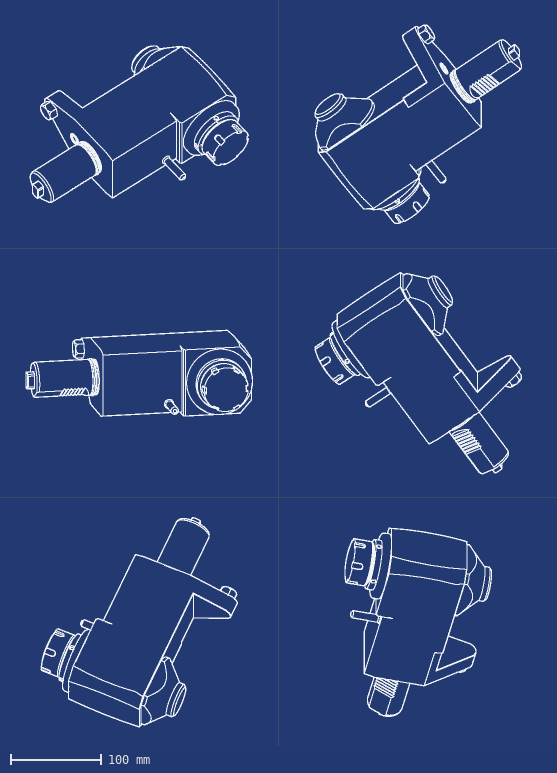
import cadquery as cq
import math


half_height = 38.0
housing_back = 166.8
left_face_x = -38.7
left_bend_x = -29.0
right_face_x = 39.5
right_bend_x = 28.2
head_face_x = 47.0
head_front_y = 89.7
head_corner_chamfer = 2.0
edge_break = 0.5

bevel_length = 9.8
bevel_height = 11.3
bevel_bulge_radius = 281.8
bevel_centre_x = 4.0

lug_thickness = 18.1
lug_radius = 12.0
lug_x = -72.0
lug_z = 14.0
steep_plane_length = 50.0

bolt_x = -70.0
bolt_z = 14.7
bolt_height = 9.8
bolt_corner_radius = 10.3
bolt_sides = 6
bolt_turn = 45.0
bolt_tip_radius = 8.8
bolt_tip_drop = 2.5

port_x = -30.1
port_outer_radius = 7.0
port_inner_radius = 4.7
port_groove_depth = 1.0
seal_radius = 0.7
seal_stand_out = 0.2

shank_radius = 20.0
shank_length = 70.3
shank_tip_radius = 19.0
shank_tip_length = 2.7
neck_radius = 19.4
collar_start = 1.5
collar_end = 3.2
seal_start = 4.0
seal_end = 5.6
seal_outer_radius = 20.8
barrel_start = 7.4
flat_distance = 17.0
flat_turn = 30.0
flat_start = 13.7
tooth_pitch = 4.0
tooth_depth = 1.5
tooth_count = 7

overall_length = 245.0
tang_length = overall_length - housing_back - shank_length
tang_width = 10.8
tang_height = 18.9
tang_flat_height = 12.2
tang_corner_width = 0.7
tang_chamfer = 0.7

spindle_y = 129.8
flange_radius = 36.8
flange_end_x = 55.5
flange_fillet = 3.0
ring_radius = 28.0
ring_end_x = 62.7
spindle_neck_radius = 21.5
nut_start_x = 64.2
nut_start_radius = 23.8
nut_full_x = 66.0
nut_radius = 25.0
nut_bevel_x = 85.5
nut_end_x = 87.5
nut_end_radius = 18.4
ring_hole_radius = 2.5
ring_hole_depth = 5.0
ring_hole_point = 1.5
ring_hole_count = 4
nut_slot_start_x = 74.2
nut_slot_width = 6.5
nut_slot_depth = 2.5
nut_slot_count = 6

cap_radius = 40.2
cap_rim_x = -42.6
cap_half_height = 32.8
cap_taper = 0.31
cap_back_y = 161.7
cap_corner_chamfer = 8.3
knob_radius = 19.4
knob_end_x = -71.5
knob_chamfer = 2.5

pin_y = 74.7
pin_z = -25.0
pin_radius = 4.2
pin_end_x = 72.0
pin_chamfer = 2.2
pin_foot_radius = 5.1
pin_foot_length = 2.0

embed = 2.5


def front_sketch(y):
    """Sketch plane at the given Y whose normal points toward -Y; local axes are X and Z."""
    return cq.Workplane("XZ", origin=(0, y, 0))


def turned_on_x(profile, axis_y, axis_z=0.0):
    """Solid of revolution about a line along X; the profile lists (x, radius)."""
    start_x = profile[0][0]
    end_x = profile[-1][0]
    outline = [(start_x, 0)] + profile + [(end_x, 0)]
    sketch = cq.Workplane("XY", origin=(0, axis_y, axis_z)).polyline(outline).close()
    return sketch.revolve(360, (0, 0, 0), (1, 0, 0))


def tangent_point(corner_x, corner_z, side):
    """Point where a line from an outer corner touches the lug circle (side is +1 or -1)."""
    away = math.hypot(corner_x - lug_x, corner_z - lug_z)
    direction = math.atan2(corner_z - lug_z, corner_x - lug_x)
    angle = direction + side * math.acos(lug_radius / away)
    return lug_x + lug_radius * math.cos(angle), lug_z + lug_radius * math.sin(angle)


lug_upper_end = tangent_point(left_bend_x, half_height, 1)
lug_lower_end = tangent_point(left_bend_x, -half_height, -1)
side_slope = (half_height - lug_upper_end[1]) / (left_bend_x - lug_upper_end[0])
right_edge_z = half_height - side_slope * (right_face_x - right_bend_x)
left_edge_z = half_height - side_slope * (left_bend_x - left_face_x)


def main_block():
    """Full-length housing with shallow planes along its four long edges."""
    half = [
        (left_face_x, left_edge_z),
        (left_bend_x, half_height),
        (right_bend_x, half_height),
        (right_face_x, right_edge_z),
    ]
    mirrored = [(x, -z) for x, z in reversed(half)]
    return front_sketch(housing_back).polyline(half + mirrored).close().extrude(housing_back)


def lug_prism(length):
    """Front outline with the lug, running back from the front face."""
    return (
        front_sketch(length)
        .moveTo(*lug_upper_end)
        .lineTo(left_bend_x, half_height)
        .lineTo(right_bend_x, half_height)
        .lineTo(right_face_x, right_edge_z)
        .lineTo(right_face_x, -right_edge_z)
        .lineTo(right_bend_x, -half_height)
        .lineTo(left_bend_x, -half_height)
        .lineTo(*lug_lower_end)
        .threePointArc((lug_x - lug_radius, lug_z), lug_upper_end)
        .close()
        .extrude(length)
    )


def head_block():
    width = head_face_x - right_bend_x
    depth = housing_back - head_front_y
    block = cq.Workplane("XY").box(width, depth, 2 * half_height, centered=(False, False, True))
    block = block.translate((right_bend_x, head_front_y, 0))
    return block.edges("|Z and >X and <Y").chamfer(head_corner_chamfer)


def rear_bevel():
    """Ring with a triangular section whose inner cone bevels the top rear edge."""
    centre_y = housing_back - bevel_length - bevel_bulge_radius
    slope = bevel_height / bevel_length
    reach = 2 * bevel_length
    inner = bevel_bulge_radius - bevel_length
    section = [
        (inner, half_height + slope * bevel_length),
        (bevel_bulge_radius + reach, half_height - slope * reach),
        (bevel_bulge_radius + reach, half_height + slope * bevel_length),
    ]
    ring = cq.Workplane("XZ").polyline(section).close().revolve(360, (0, 0, 0), (0, 1, 0))
    return ring.translate((bevel_centre_x, centre_y, 0))


def housing():
    front_trim = lug_prism(steep_plane_length)
    zone_size = 2 * housing_back
    front_zone = cq.Workplane("XY").box(
        zone_size, steep_plane_length, zone_size, centered=(True, False, True)
    )
    body = main_block().cut(front_zone.cut(front_trim))
    body = body.union(head_block())
    bevel = rear_bevel()
    body = body.cut(bevel).cut(bevel.mirror("XY"))
    body = body.union(lug_prism(lug_thickness))
    return body.newObject(broken_edges(body)).chamfer(edge_break)


def broken_edges(body):
    """Outer edges of the left face and of the back of the lug, leaving the rear edge sharp."""
    tolerance = 0.002
    picked = []
    for edge in body.edges().vals():
        box = edge.BoundingBox()
        on_left_face = box.xmax < left_face_x + tolerance and box.xmin > left_face_x - tolerance
        on_lug_back = abs(box.ymin - lug_thickness) < tolerance and box.ylen < tolerance
        in_lug_region = box.xmax < left_face_x + tolerance
        inner_corner = on_left_face and on_lug_back
        rear_edge = box.ymin > housing_back - tolerance
        left_sharp = inner_corner or rear_edge
        if (on_left_face or (on_lug_back and in_lug_region)) and not left_sharp:
            picked.append(edge)
    return picked


def bolt_head():
    corners = []
    for index in range(bolt_sides):
        angle = math.radians(bolt_turn + index * 360 / bolt_sides)
        corners.append((bolt_corner_radius * math.cos(angle), bolt_corner_radius * math.sin(angle)))
    head = front_sketch(embed).polyline(corners).close().extrude(bolt_height + embed)
    shoulder = bolt_height - bolt_tip_drop
    cone_envelope = (
        cq.Workplane("XY")
        .moveTo(0, embed)
        .lineTo(bolt_corner_radius, embed)
        .lineTo(bolt_corner_radius, -shoulder)
        .lineTo(bolt_tip_radius, -bolt_height)
        .lineTo(0, -bolt_height)
        .close()
        .revolve(360, (0, 0, 0), (0, 1, 0))
    )
    return head.intersect(cone_envelope).translate((bolt_x, 0, bolt_z))


def port_groove():
    groove = front_sketch(port_groove_depth).circle(port_outer_radius).circle(port_inner_radius)
    return groove.extrude(port_groove_depth).translate((port_x, 0, 0))


def port_seal():
    middle = (port_outer_radius + port_inner_radius) / 2
    section = cq.Workplane("XY").center(middle, seal_radius - seal_stand_out).circle(seal_radius)
    return section.revolve(360, (-middle, 0, 0), (-middle, 1, 0)).translate((port_x, 0, 0))


def shank():
    seal_middle = (seal_start + seal_end) / 2
    body = (
        cq.Workplane("XY")
        .moveTo(0, embed)
        .lineTo(neck_radius, embed)
        .lineTo(neck_radius, -collar_start)
        .lineTo(shank_radius, -collar_start)
        .lineTo(shank_radius, -collar_end)
        .lineTo(neck_radius, -collar_end)
        .lineTo(neck_radius, -seal_start)
        .lineTo(shank_radius, -seal_start)
        .threePointArc((seal_outer_radius, -seal_middle), (shank_radius, -seal_end))
        .lineTo(neck_radius, -seal_end)
        .lineTo(neck_radius, -barrel_start)
        .lineTo(shank_radius, -barrel_start)
        .lineTo(shank_radius, shank_tip_length - shank_length)
        .lineTo(shank_tip_radius, -shank_length)
        .lineTo(0, -shank_length)
        .close()
        .revolve(360, (0, 0, 0), (0, 1, 0))
    )
    return body.cut(shank_flat())


def shank_flat():
    """Cutter for the toothed flat: a 45 degree run-in, V grooves, then plain to the end."""
    outside = 2 * shank_radius
    run_in = outside - flat_distance
    outline = [(-flat_start + run_in, -outside), (-flat_start, -flat_distance)]
    for index in range(tooth_count):
        groove_start = -flat_start - index * tooth_pitch
        outline.append((groove_start - tooth_pitch / 2, tooth_depth - flat_distance))
        outline.append((groove_start - tooth_pitch, -flat_distance))
    outline.append((-shank_length - embed, -flat_distance))
    outline.append((-shank_length - embed, -outside))
    cutter = cq.Workplane("YZ").polyline(outline).close().extrude(outside, both=True)
    return cutter.rotate((0, 0, 0), (0, 1, 0), -flat_turn)


def tang():
    """Key with flat sides and bevelled corners, its ends on a circle about the shank axis."""
    half_width = tang_width / 2
    half_flat = tang_flat_height / 2
    half_tang = tang_height / 2
    arc_x = half_width - tang_corner_width
    arc_z = math.sqrt(half_tang**2 - arc_x**2)
    block = (
        front_sketch(embed - shank_length)
        .moveTo(-half_width, -half_flat)
        .lineTo(-arc_x, -arc_z)
        .threePointArc((0, -half_tang), (arc_x, -arc_z))
        .lineTo(half_width, -half_flat)
        .lineTo(half_width, half_flat)
        .lineTo(arc_x, arc_z)
        .threePointArc((0, half_tang), (-arc_x, arc_z))
        .lineTo(-half_width, half_flat)
        .close()
        .extrude(tang_length + embed)
    )
    return block.faces("<Y").edges("|Z").chamfer(tang_chamfer)


def spindle():
    flange = turned_on_x(
        [(head_face_x - embed, flange_radius), (flange_end_x, flange_radius)], spindle_y
    )
    flange = flange.faces(">X").edges().fillet(flange_fillet)
    nose = turned_on_x(
        [
            (flange_end_x - embed, ring_radius),
            (ring_end_x, ring_radius),
            (ring_end_x, spindle_neck_radius),
            (nut_start_x, spindle_neck_radius),
            (nut_start_x, nut_start_radius),
            (nut_full_x, nut_radius),
            (nut_bevel_x, nut_radius),
            (nut_end_x, nut_end_radius),
        ],
        spindle_y,
    )
    for index in range(nut_slot_count):
        nose = nose.cut(around_spindle(nut_slot(), index * 360 / nut_slot_count))
    for index in range(ring_hole_count):
        nose = nose.cut(around_spindle(ring_hole(), index * 360 / ring_hole_count))
    return flange.union(nose)


def around_spindle(shape, angle):
    """Turn a cutter made on the front of the spindle about the spindle axis."""
    axis_start = (0, spindle_y, 0)
    axis_end = (1, spindle_y, 0)
    return shape.rotate(axis_start, axis_end, angle)


def nut_slot():
    """Round-ended wrench slot, open toward the nut face."""
    floor_y = spindle_y - nut_radius + nut_slot_depth
    half_width = nut_slot_width / 2
    round_x = nut_slot_start_x + half_width
    open_x = nut_end_x + embed
    return (
        front_sketch(floor_y)
        .moveTo(open_x, -half_width)
        .lineTo(round_x, -half_width)
        .threePointArc((nut_slot_start_x, 0), (round_x, half_width))
        .lineTo(open_x, half_width)
        .close()
        .extrude(nut_slot_depth + embed)
    )


def ring_hole():
    floor_y = spindle_y - ring_radius + ring_hole_depth
    middle_x = (flange_end_x + ring_end_x) / 2
    sketch = front_sketch(floor_y).center(middle_x, 0).circle(ring_hole_radius)
    hole = sketch.extrude(ring_hole_depth + embed)
    point = cq.Solid.makeCone(
        ring_hole_radius, 0, ring_hole_point, pnt=(middle_x, floor_y, 0), dir=(0, 1, 0)
    )
    return hole.union(cq.Workplane(point))


def rear_cap():
    """Cone with a flat-sided rim, ending in a round knob."""
    cone_end_x = cap_rim_x - (cap_radius - knob_radius)
    cone = turned_on_x(
        [
            (left_face_x + embed, cap_radius),
            (cap_rim_x, cap_radius),
            (cone_end_x, knob_radius),
            (knob_end_x + knob_chamfer, knob_radius),
            (knob_end_x, knob_radius - knob_chamfer),
        ],
        spindle_y,
    )
    length = cap_back_y - (spindle_y - cap_radius)
    envelope = cq.Workplane("XY").box(2 * abs(knob_end_x), length, 2 * cap_half_height)
    envelope = envelope.edges("|X and >Y").chamfer(cap_corner_chamfer)
    cone = cone.intersect(envelope.translate((knob_end_x, cap_back_y - length / 2, 0)))
    return cone.intersect(cap_taper_envelope())


def cap_taper_envelope():
    """Wedge whose top and bottom run parallel up to the rim and then close in toward the knob."""
    far_x = knob_end_x - embed
    far_z = cap_half_height - cap_taper * (cap_rim_x - far_x)
    half = [(0, cap_half_height), (cap_rim_x, cap_half_height), (far_x, far_z)]
    mirrored = [(x, -z) for x, z in reversed(half)]
    wedge = front_sketch(housing_back).polyline(half + mirrored).close()
    return wedge.extrude(housing_back)


def locating_pin():
    return turned_on_x(
        [
            (right_face_x - embed, pin_foot_radius),
            (right_face_x, pin_foot_radius),
            (right_face_x + pin_foot_length, pin_radius),
            (pin_end_x - pin_chamfer, pin_radius),
            (pin_end_x, pin_radius - pin_chamfer),
        ],
        pin_y,
        pin_z,
    )


result = housing().cut(port_groove())
for feature in (port_seal, bolt_head, shank, tang, spindle, rear_cap, locating_pin):
    result = result.union(feature())